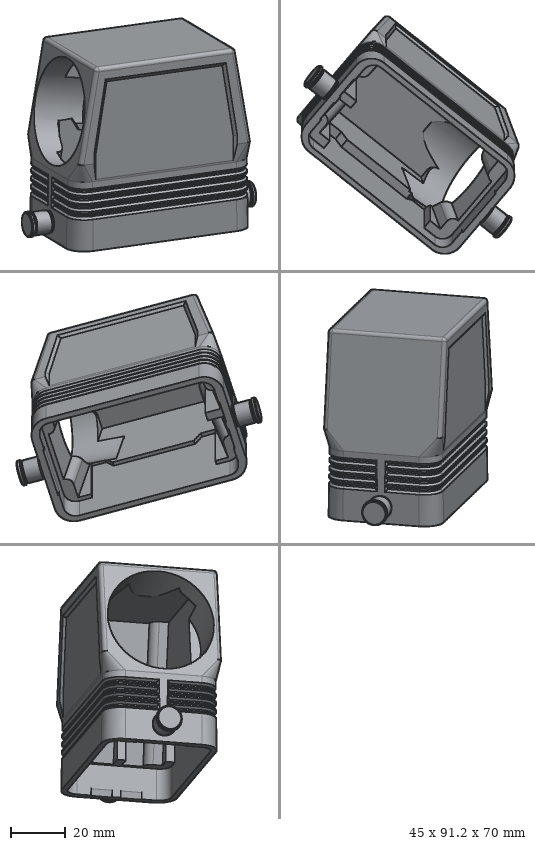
import cadquery as cq
import math

TOTAL_LENGTH = 91.2
TOTAL_WIDTH = 45.0
TOTAL_HEIGHT = 70.0

BASE_HALF_WIDTH = 21.7
BASE_HALF_LENGTH = 36.5
BASE_CORNER_RADIUS = 7.3
GRIP_TOP_Z = 26.4
GRIP_DRAFT = 0.4

HOOD_HALF_WIDTH = TOTAL_WIDTH / 2
HOOD_START_Z = 33.65
END_LEAN = math.radians(10)
GRIP_TOP_HALF_LENGTH = BASE_HALF_LENGTH - GRIP_DRAFT
HOOD_HALF_LENGTH = GRIP_TOP_HALF_LENGTH - (HOOD_START_Z - GRIP_TOP_Z) * math.tan(END_LEAN)
HOOD_EDGE_RADIUS = 1.55

GROOVE_COUNT = 4
GROOVE_TOP_Z = 23.8
GROOVE_PITCH = 3.1
GROOVE_DEPTH = 0.9
GROOVE_FLAT = 0.6
END_RIB_HALF_WIDTH = 1.3

PANEL_DEPTH = 1.0
PANEL_WALL_ANGLE = 50.0
PANEL_TOP_Z = 65.2
PANEL_KNEE_Z = 36.9
PANEL_BOTTOM_Z = 24.6
PANEL_TOP_HALF = 24.4
PANEL_KNEE_HALF = 29.1

ENTRY_RADIUS = 20.1
ENTRY_Z = 48.0
ENTRY_DEPTH = 20.1
CUT_CLEARANCE = 0.9

CEILING_Z = 64.1
CAVITY_LEFT = 18.15
CAVITY_RIGHT = 16.1
WIDENING_HALF_LENGTH = 23.7
END_POCKET_HALF_WIDTH = 9.6
COLUMN_EDGE_RADIUS = 2.9
COLUMN_DEPTH = 3.0
END_WALL = 7.0
LEDGE_Z = 33.7
LEDGE_END_Z = 38.3
LEDGE_RISE_Y = 15.5
LEDGE_END_Y = 18.2
LOWER_HALF_WIDTH = 19.6
MOUTH_HALF_LENGTH = 33.3
MOUTH_DEPTH = 12.0
MOUTH_CORNER_RADIUS = 4.6
INNER_RIB_HALF_WIDTH = 1.6
INNER_RIB_TOP_Z = 45.3

PIN_Z = 6.4
PIN_RADIUS = 4.4
PIN_NECK_RADIUS = 4.1
PIN_HEAD_RADIUS = 4.7
PIN_HEAD_LENGTH = 1.4
PIN_HEAD_CHAMFER = 0.5
PIN_RELIEF = 0.5


def hood_half_length(z):
    """Half length of the hood outline at height z."""
    return HOOD_HALF_LENGTH - (z - HOOD_START_Z) * math.tan(END_LEAN)


def rounded_outline(z, half_width, half_length, radius):
    """Rounded rectangle sketch lying at height z."""
    sketch = cq.Sketch().rect(2 * half_width, 2 * half_length).vertices().fillet(radius)
    return sketch.moved(cq.Location(cq.Vector(0, 0, z)))


def grip_outline(z, inset=0.0):
    """Outline of the drafted grip body at height z, moved inward by inset."""
    shrink = GRIP_DRAFT * z / GRIP_TOP_Z + inset
    return rounded_outline(
        z, BASE_HALF_WIDTH - shrink, BASE_HALF_LENGTH - shrink, BASE_CORNER_RADIUS - shrink
    )


def ruled_loft(lower, upper):
    return cq.Workplane("XY").placeSketch(lower, upper).loft(ruled=True)


def grip_groove(top_z):
    """Ring with a 45 degree trapezoid section that cuts one groove around the grip."""
    flat_top = top_z - GROOVE_DEPTH
    flat_bottom = flat_top - GROOVE_FLAT
    bottom_z = flat_bottom - GROOVE_DEPTH
    ring = (
        cq.Workplane("XY", origin=(0, 0, bottom_z))
        .rect(4 * BASE_HALF_WIDTH, 4 * BASE_HALF_LENGTH)
        .extrude(top_z - bottom_z)
    )
    outlines = [
        grip_outline(bottom_z),
        grip_outline(flat_bottom, GROOVE_DEPTH),
        grip_outline(flat_top, GROOVE_DEPTH),
        grip_outline(top_z),
    ]
    for lower, upper in zip(outlines, outlines[1:]):
        ring = ring.cut(ruled_loft(lower, upper))
    return ring


def grip_body():
    """Grooved lower body with a plain upright rib across the grooves on each end."""
    plain = ruled_loft(grip_outline(0), grip_outline(GRIP_TOP_Z))
    grooved = plain
    for index in range(GROOVE_COUNT):
        grooved = grooved.cut(grip_groove(GROOVE_TOP_Z - index * GROOVE_PITCH))
    root_half = END_RIB_HALF_WIDTH + BASE_HALF_LENGTH
    ribs = (
        cq.Workplane("XY")
        .polyline([
            (-END_RIB_HALF_WIDTH, -BASE_HALF_LENGTH),
            (END_RIB_HALF_WIDTH, -BASE_HALF_LENGTH),
            (root_half, 0),
            (END_RIB_HALF_WIDTH, BASE_HALF_LENGTH),
            (-END_RIB_HALF_WIDTH, BASE_HALF_LENGTH),
            (-root_half, 0),
        ])
        .close()
        .extrude(GRIP_TOP_Z)
    )
    side_trim = 2 * (BASE_HALF_WIDTH - BASE_CORNER_RADIUS)
    ribs = ribs.intersect(cq.Workplane("XY").box(side_trim, TOTAL_LENGTH, TOTAL_HEIGHT))
    return grooved.union(plain.intersect(ribs))


def flare():
    """Transition from the rounded grip to the sharper hood outline."""
    hood_outline = rounded_outline(
        HOOD_START_Z, HOOD_HALF_WIDTH, HOOD_HALF_LENGTH, HOOD_EDGE_RADIUS
    )
    return ruled_loft(grip_outline(GRIP_TOP_Z), hood_outline)


def hood():
    top_half = hood_half_length(TOTAL_HEIGHT)
    return (
        cq.Workplane("YZ")
        .polyline([
            (-HOOD_HALF_LENGTH, HOOD_START_Z),
            (HOOD_HALF_LENGTH, HOOD_START_Z),
            (top_half, TOTAL_HEIGHT),
            (-top_half, TOTAL_HEIGHT),
        ])
        .close()
        .extrude(HOOD_HALF_WIDTH, both=True)
        .edges("not <Z")
        .fillet(HOOD_EDGE_RADIUS)
    )


def side_panel():
    """Cutter for the recessed panel on the +X side, with sloping walls."""
    return (
        cq.Workplane("YZ", origin=(HOOD_HALF_WIDTH, 0, 0))
        .polyline([
            (-PANEL_KNEE_HALF, PANEL_BOTTOM_Z),
            (-PANEL_KNEE_HALF, PANEL_KNEE_Z),
            (-PANEL_TOP_HALF, PANEL_TOP_Z),
            (PANEL_TOP_HALF, PANEL_TOP_Z),
            (PANEL_KNEE_HALF, PANEL_KNEE_Z),
            (PANEL_KNEE_HALF, PANEL_BOTTOM_Z),
        ])
        .close()
        .extrude(-PANEL_DEPTH, taper=PANEL_WALL_ANGLE)
    )


def leaning_prism(left, right, wall):
    """Block below the ceiling whose ends run parallel to the end walls, wall inside them."""
    bottom_half = hood_half_length(0) - wall
    top_half = hood_half_length(CEILING_Z) - wall
    return (
        cq.Workplane("YZ", origin=(left, 0, 0))
        .polyline([
            (-bottom_half, 0), (bottom_half, 0), (top_half, CEILING_Z), (-top_half, CEILING_Z),
        ])
        .close()
        .extrude(right - left)
    )


def cavity():
    """Hollow interior, open at the bottom."""
    mid_z = CEILING_Z / 2
    chamber = leaning_prism(-CAVITY_LEFT, CAVITY_RIGHT, END_WALL + COLUMN_DEPTH)
    pocket = leaning_prism(-END_POCKET_HALF_WIDTH, END_POCKET_HALF_WIDTH, END_WALL)
    hollow = chamber.union(pocket)

    reach_x = END_POCKET_HALF_WIDTH + CUT_CLEARANCE
    reach_y = hood_half_length(mid_z) - END_WALL - COLUMN_DEPTH / 2
    column_edges = cq.selectors.BoxSelector(
        (-reach_x, -reach_y, mid_z - CUT_CLEARANCE), (reach_x, reach_y, mid_z + CUT_CLEARANCE)
    )
    hollow = hollow.edges(column_edges).fillet(COLUMN_EDGE_RADIUS)

    rib_face = hood_half_length(INNER_RIB_TOP_Z) - END_WALL
    rib = (
        cq.Workplane("XY")
        .center(0, rib_face + END_WALL)
        .rect(2 * INNER_RIB_HALF_WIDTH, 2 * END_WALL)
        .extrude(INNER_RIB_TOP_Z)
    )
    hollow = hollow.cut(rib)

    widening = (
        cq.Workplane("YZ")
        .polyline([
            (0, 0),
            (WIDENING_HALF_LENGTH, 0),
            (WIDENING_HALF_LENGTH, LEDGE_END_Z),
            (LEDGE_END_Y, LEDGE_END_Z),
            (LEDGE_RISE_Y, LEDGE_Z),
            (0, LEDGE_Z),
        ])
        .close()
        .extrude(LOWER_HALF_WIDTH, both=True)
    )
    widening = widening.union(widening.mirror("XZ"))
    mouth = (
        cq.Workplane("XY")
        .rect(2 * LOWER_HALF_WIDTH, 2 * MOUTH_HALF_LENGTH)
        .extrude(MOUTH_DEPTH)
        .edges("|Z")
        .fillet(MOUTH_CORNER_RADIUS)
    )
    return hollow.union(widening).union(mouth)


def cable_entry():
    """Blind round bore, square to the -Y end wall and sloping down into the hood."""
    inward = cq.Vector(0, math.cos(END_LEAN), -math.sin(END_LEAN))
    start = cq.Vector(0, -hood_half_length(ENTRY_Z), ENTRY_Z) - inward * CUT_CLEARANCE
    bore_length = ENTRY_DEPTH + CUT_CLEARANCE
    return cq.Workplane(cq.Solid.makeCylinder(ENTRY_RADIUS, bore_length, start, inward))


def locking_pin():
    """Turned pin on the +Y end, rooted inside the end wall."""
    tip = TOTAL_LENGTH / 2
    head = tip - PIN_HEAD_LENGTH
    root = (BASE_HALF_LENGTH + MOUTH_HALF_LENGTH) / 2
    shank_start = BASE_HALF_LENGTH + 2 * PIN_RELIEF
    return (
        cq.Workplane("XY")
        .polyline([
            (0, root),
            (PIN_NECK_RADIUS, root),
            (PIN_NECK_RADIUS, shank_start - PIN_RELIEF),
            (PIN_RADIUS, shank_start),
            (PIN_RADIUS, head - 2 * PIN_RELIEF),
            (PIN_NECK_RADIUS, head - PIN_RELIEF),
            (PIN_NECK_RADIUS, head),
            (PIN_HEAD_RADIUS, head),
            (PIN_HEAD_RADIUS, tip - PIN_HEAD_CHAMFER),
            (PIN_HEAD_RADIUS - PIN_HEAD_CHAMFER, tip),
            (0, tip),
        ])
        .close()
        .revolve(360, (0, 0, 0), (0, 1, 0))
        .translate((0, 0, PIN_Z))
    )


body = grip_body().union(flare()).union(hood())
panel = side_panel()
body = body.cut(panel).cut(panel.mirror("YZ"))
body = body.cut(cavity()).cut(cable_entry())
pin = locking_pin()
result = body.union(pin).union(pin.mirror("XZ"))